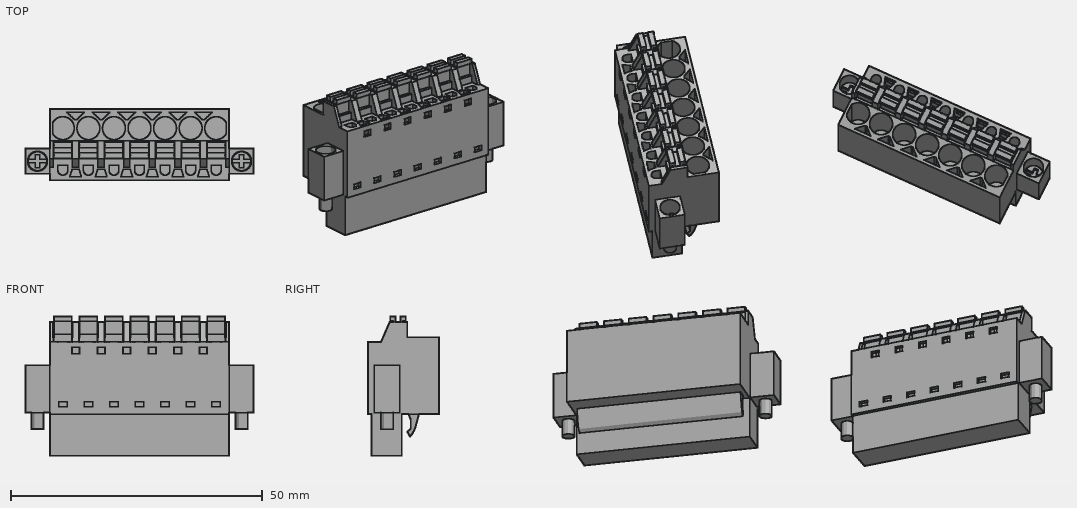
import cadquery as cq

POLES = 7
PITCH = 5.08
OVERALL_LENGTH = 45.36
HOUSING_LENGTH = 35.6
OVERALL_HEIGHT = 27.73
pole_xs = [(i - (POLES - 1) / 2) * PITCH for i in range(POLES)]
gap_xs = [x + PITCH / 2 for x in pole_xs[:-1]]

BODY_DEPTH = 14.2
BODY_BOTTOM = 8.32
FRONT_TOP = 22.66
BACK_TOP = 23.62
RIDGE_TOP = 26.62
RIDGE_BACK = 7.85
RIDGE_FRONT = 4.34
RIDGE_FOOT = 2.62
SKIRT_FRONT = 0.72
SKIRT_BACK = 6.76

LATCH_END_INSET = 1.0
LATCH_ROOT_BACK = 10.2
LATCH_ROOT_FRONT = 8.08
LATCH_NECK_Y = 8.53
LATCH_NECK_TOP = 7.15
LATCH_NECK_BOTTOM = 5.38
LATCH_BARB = (7.82, 4.82)
LATCH_TIP = (8.40, 3.80)
LATCH_BACK_MIDDLE = (9.10, 4.80)
LATCH_BACK_TOP = (9.63, 6.20)

POCKET_WIDTH = 3.82
LEVER_WIDTH = 3.58
LEVER_HEAD_BOTTOM = 26.76
LEVER_HEAD_BACK = 7.58
LEVER_HEAD_FRONT = 4.42
LEVER_GROOVE_BACK = 6.48
LEVER_GROOVE_FRONT = 5.52
LEVER_STEM_BACK = 7.0
LEVER_STEM_FRONT = 5.03
LEVER_FOOT_FRONT = 4.28
LEVER_FOOT_TOP = 24.16

WIRE_HOLE_RADIUS = 2.28
WIRE_HOLE_Y = 10.37
WIRE_HOLE_DEPTH = 10.0
WIRE_END_FLAT_X = 17.22
BACK_RECESS_BACK = 13.55
BACK_RECESS_FRONT = 12.05
BACK_RECESS_BACK_WIDTH = 3.5
BACK_RECESS_FRONT_WIDTH = 0.4
BACK_RECESS_DEPTH = 5.0

TEST_WIDTH = 1.96
TEST_BACK = 2.95
TEST_DEPTH = 5.0
TEST_ARC_Y = 2.0
FRONT_RECESS_BACK = 2.23
FRONT_RECESS_FRONT = 0.74
FRONT_RECESS_BACK_WIDTH = 1.37
FRONT_RECESS_FRONT_WIDTH = 2.3
FRONT_RECESS_DEPTH = 5.0
UPPER_WINDOW_WIDTH = 1.6
UPPER_WINDOW_BOTTOM = 20.34
UPPER_WINDOW_TOP = 21.58
LOWER_WINDOW_WIDTH = 1.7
LOWER_WINDOW_BOTTOM = 9.72
LOWER_WINDOW_TOP = 10.78
LOWER_WINDOW_DEPTH = 0.82

FLANGE_FRONT = 1.26
FLANGE_BACK = 6.34
FLANGE_BOTTOM = 8.6
FLANGE_TOP = 18.03
SCREW_X = 20.28
SCREW_Y = (FLANGE_FRONT + FLANGE_BACK) / 2
COUNTERBORE_RADIUS = 1.97
SCREW_HEAD_RADIUS = 1.88
SCREW_HEAD_BOTTOM = 12.0
SCREW_HEAD_TOP = 14.0
SCREW_SHANK_RADIUS = 1.25
SCREW_BOTTOM = 5.33
CROSS_DEPTH = 0.8
CROSS_SLOT_WIDTH = 0.7
CROSS_BAR_WIDTH = 0.82
CROSS_BAR_LENGTH = 2.62


def box(x0, x1, y0, y1, z0, z1):
    """Axis-aligned box between the given limits."""
    return cq.Workplane("XY").box(x1 - x0, y1 - y0, z1 - z0, centered=False).translate((x0, y0, z0))


def pole_box(x, width, y0, y1, z0, z1):
    """Box of the given width centred on x."""
    return box(x - width / 2, x + width / 2, y0, y1, z0, z1)


def cylinder(x, y, radius, z0, z1):
    """Upright cylinder between two heights."""
    return cq.Workplane("XY", origin=(x, y, z0)).circle(radius).extrude(z1 - z0)


def housing_block():
    """Body with its stepped top ridge and the plug skirt below."""
    outline = cq.Workplane("YZ").polyline([
        (0, BODY_BOTTOM),
        (0, FRONT_TOP),
        (RIDGE_FOOT, FRONT_TOP),
        (RIDGE_FRONT, RIDGE_TOP),
        (RIDGE_BACK, RIDGE_TOP),
        (RIDGE_BACK, BACK_TOP),
        (BODY_DEPTH, BACK_TOP),
        (BODY_DEPTH, BODY_BOTTOM),
        (SKIRT_BACK, BODY_BOTTOM),
        (SKIRT_BACK, 0),
        (SKIRT_FRONT, 0),
        (SKIRT_FRONT, BODY_BOTTOM),
    ]).close()
    return outline.extrude(HOUSING_LENGTH / 2, both=True)


def latch():
    """Hooked latch hanging below the back of the body."""
    outline = (
        cq.Workplane("YZ")
        .moveTo(LATCH_ROOT_BACK, BODY_BOTTOM)
        .lineTo(LATCH_ROOT_FRONT, BODY_BOTTOM)
        .lineTo(LATCH_NECK_Y, LATCH_NECK_TOP)
        .lineTo(LATCH_NECK_Y, LATCH_NECK_BOTTOM)
        .lineTo(*LATCH_BARB)
        .lineTo(*LATCH_TIP)
        .threePointArc(LATCH_BACK_MIDDLE, LATCH_BACK_TOP)
        .close()
    )
    return outline.extrude(HOUSING_LENGTH / 2 - LATCH_END_INSET, both=True)


def flange(side):
    """Screw ear at one end of the housing; side is -1 or +1."""
    inner, outer = sorted((side * HOUSING_LENGTH / 2, side * OVERALL_LENGTH / 2))
    ear = box(inner, outer, FLANGE_FRONT, FLANGE_BACK, FLANGE_BOTTOM, FLANGE_TOP)
    ear = ear.cut(cylinder(side * SCREW_X, SCREW_Y, SCREW_SHANK_RADIUS, FLANGE_BOTTOM, FLANGE_TOP))
    return ear.cut(cylinder(side * SCREW_X, SCREW_Y, COUNTERBORE_RADIUS, SCREW_HEAD_BOTTOM, FLANGE_TOP))


def lever_pocket(x):
    """Slot through the ridge, down to the level of the front top face."""
    return pole_box(x, POCKET_WIDTH, RIDGE_FOOT, RIDGE_BACK, FRONT_TOP, RIDGE_TOP)


def wire_hole(x):
    """Round wire entry, flattened where it comes close to a housing end."""
    bottom = BACK_TOP - WIRE_HOLE_DEPTH
    keep = pole_box(0, 2 * WIRE_END_FLAT_X, 0, BODY_DEPTH, bottom, BACK_TOP)
    return cylinder(x, WIRE_HOLE_Y, WIRE_HOLE_RADIUS, bottom, BACK_TOP).intersect(keep)


def test_hole(x):
    """D-shaped hole: straight at the back, half round at the front."""
    half = TEST_WIDTH / 2
    return (
        cq.Workplane("XY", origin=(x, 0, FRONT_TOP))
        .moveTo(-half, TEST_BACK)
        .lineTo(-half, TEST_ARC_Y)
        .threePointArc((0, TEST_ARC_Y - half), (half, TEST_ARC_Y))
        .lineTo(half, TEST_BACK)
        .close()
        .extrude(-TEST_DEPTH)
    )


def trapezoid_recess(x, y_front, width_front, y_back, width_back, top, bottom):
    """Upright trapezoidal cutter with parallel front and back sides."""
    return cq.Workplane("XY", origin=(x, 0, bottom)).polyline([
        (-width_front / 2, y_front),
        (width_front / 2, y_front),
        (width_back / 2, y_back),
        (-width_back / 2, y_back),
    ]).close().extrude(top - bottom)


def back_recess(x):
    return trapezoid_recess(
        x, BACK_RECESS_FRONT, BACK_RECESS_FRONT_WIDTH, BACK_RECESS_BACK, BACK_RECESS_BACK_WIDTH,
        BACK_TOP, BACK_TOP - BACK_RECESS_DEPTH,
    )


def front_recess(x):
    """Recess in the front top face, reached from the front through the upper window."""
    return trapezoid_recess(
        x, FRONT_RECESS_FRONT, FRONT_RECESS_FRONT_WIDTH, FRONT_RECESS_BACK, FRONT_RECESS_BACK_WIDTH,
        FRONT_TOP, FRONT_TOP - FRONT_RECESS_DEPTH,
    )


def upper_window(x):
    return pole_box(
        x, UPPER_WINDOW_WIDTH, 0, FRONT_RECESS_FRONT, UPPER_WINDOW_BOTTOM, UPPER_WINDOW_TOP,
    )


def lower_window(x):
    return pole_box(
        x, LOWER_WINDOW_WIDTH, 0, LOWER_WINDOW_DEPTH, LOWER_WINDOW_BOTTOM, LOWER_WINDOW_TOP,
    )


def make_housing():
    body = housing_block().union(latch())
    for side in (-1, 1):
        body = body.union(flange(side))
    for x in pole_xs:
        for opening in (lever_pocket, wire_hole, test_hole, lower_window):
            body = body.cut(opening(x))
    for x in gap_xs:
        for opening in (back_recess, front_recess, upper_window):
            body = body.cut(opening(x))
    return body


def make_lever(x):
    """Lever with a forward foot, a narrow stem and an overhanging grooved head."""
    outline = cq.Workplane("YZ", origin=(x, 0, 0)).polyline([
        (LEVER_FOOT_FRONT, FRONT_TOP),
        (LEVER_FOOT_FRONT, LEVER_FOOT_TOP),
        (LEVER_STEM_FRONT, LEVER_FOOT_TOP),
        (LEVER_STEM_FRONT, LEVER_HEAD_BOTTOM),
        (LEVER_HEAD_FRONT, LEVER_HEAD_BOTTOM),
        (LEVER_HEAD_FRONT, OVERALL_HEIGHT),
        (LEVER_GROOVE_FRONT, OVERALL_HEIGHT),
        (LEVER_GROOVE_FRONT, RIDGE_TOP),
        (LEVER_GROOVE_BACK, RIDGE_TOP),
        (LEVER_GROOVE_BACK, OVERALL_HEIGHT),
        (LEVER_HEAD_BACK, OVERALL_HEIGHT),
        (LEVER_HEAD_BACK, LEVER_HEAD_BOTTOM),
        (LEVER_STEM_BACK, LEVER_HEAD_BOTTOM),
        (LEVER_STEM_BACK, FRONT_TOP),
    ]).close()
    return outline.extrude(LEVER_WIDTH / 2, both=True)


def make_screw(x):
    """Flange screw with a slotted cross recess in its head."""
    slot_bottom = SCREW_HEAD_TOP - CROSS_DEPTH
    shank = cylinder(x, SCREW_Y, SCREW_SHANK_RADIUS, SCREW_BOTTOM, SCREW_HEAD_BOTTOM)
    head = cylinder(x, SCREW_Y, SCREW_HEAD_RADIUS, SCREW_HEAD_BOTTOM, SCREW_HEAD_TOP)
    slot = pole_box(
        x, 2 * SCREW_HEAD_RADIUS, SCREW_Y - CROSS_SLOT_WIDTH / 2, SCREW_Y + CROSS_SLOT_WIDTH / 2,
        slot_bottom, SCREW_HEAD_TOP,
    )
    bar = pole_box(
        x, CROSS_BAR_WIDTH, SCREW_Y - CROSS_BAR_LENGTH / 2, SCREW_Y + CROSS_BAR_LENGTH / 2,
        slot_bottom, SCREW_HEAD_TOP,
    )
    return shank.union(head).cut(slot).cut(bar)


housing = make_housing()
levers = [make_lever(x) for x in pole_xs]
screws = [make_screw(side * SCREW_X) for side in (-1, 1)]

result = cq.Compound.makeCompound([
    housing.val(),
    *[lever.val() for lever in levers],
    *[screw.val() for screw in screws],
])